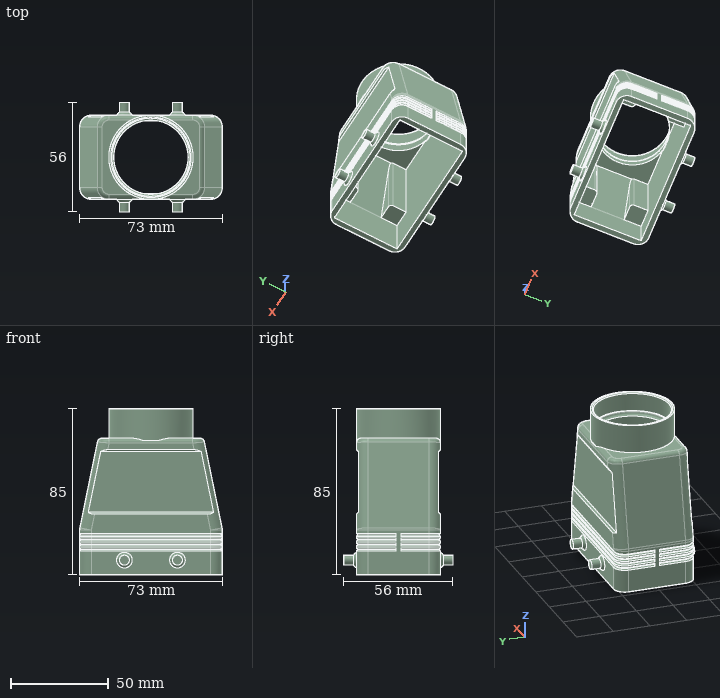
import cadquery as cq
import math

total_height = 85.0
base_length = 73.0
body_width = 43.1
body_height = 69.95
bend_height = 23.5
top_length = 54.0
corner_radius = 6.0
bend_radius = corner_radius
top_edge_radius = 2.55

recess_depth = 1.0
recess_bottom = 31.0
recess_top = 64.0

groove_count = 4
groove_depth = 0.8
lowest_groove_height = 13.0
highest_groove_height = 20.5
groove_pitch = (highest_groove_height - lowest_groove_height) / (groove_count - 1)
groove_gap = 2.6

collar_radius = body_width / 2
collar_embed = 1.3
collar_bore_radius = 20.0
relief_radius = 20.6
relief_top = 74.7
entry_top = 72.25
entry_radius = 18.95
entry_bottom = 64.9
mouth_chamfer = relief_radius - collar_bore_radius
relief_fillet = relief_radius - entry_radius

wall = 3.1
cavity_ceiling = 66.1
post_face = 24.2
post_side = 9.1
post_edge_radius = 1.8

pin_span = 56.0
pin_spacing = 27.1
pin_height = 7.6
pin_radius = 2.55
pin_base_radius = 4.0
pin_base_height = 1.5
pin_root_depth = wall / 2

half_length = base_length / 2
half_width = body_width / 2
end_slope = (base_length - top_length) / 2 / (body_height - bend_height)


def hood_block(length, width, top):
    """Block with vertical ends up to the bend and sloping ends up to the top."""
    half_base = length / 2
    half_top = half_base - end_slope * (top - bend_height)
    return (
        cq.Workplane("XZ")
        .polyline([
            (-half_base, 0),
            (half_base, 0),
            (half_base, bend_height),
            (half_top, top),
            (-half_top, top),
            (-half_base, bend_height),
        ])
        .close()
        .extrude(width / 2, both=True)
    )


def make_body():
    body = hood_block(base_length, body_width, body_height)
    bend_zone = cq.selectors.BoxSelector(
        (-base_length, -half_width / 2, bend_height - bend_radius),
        (base_length, half_width / 2, bend_height + bend_radius),
    )
    body = body.edges(bend_zone).fillet(bend_radius)
    body = body.edges("(not |X) and (not |Y)").fillet(corner_radius)
    return body.edges(">Z").fillet(top_edge_radius)


def make_side_recess(side):
    """Bar that removes the recess on one broad side, with 45 degree ends."""
    outer = side * half_width
    floor = side * (half_width - recess_depth)
    return (
        cq.Workplane("YZ")
        .polyline([
            (outer, recess_bottom),
            (floor, recess_bottom + recess_depth),
            (floor, recess_top - recess_depth),
            (outer, recess_top),
        ])
        .close()
        .extrude(half_length, both=True)
    )


def make_groove(height):
    """Ring with a 90 degree V section, split by a gap at each end of the base."""

    def narrowing_block(direction):
        return (
            cq.Workplane("XY")
            .workplane(offset=height - direction * groove_depth)
            .sketch()
            .rect(base_length, body_width)
            .vertices()
            .fillet(corner_radius)
            .finalize()
            .extrude(direction * groove_depth, taper=45)
        )

    slab = cq.Workplane("XY").box(base_length, body_width, 2 * groove_depth)
    gap = cq.Workplane("XY").box(base_length, groove_gap, 2 * groove_depth)
    ring = slab.cut(gap).translate((0, 0, height))
    return ring.cut(narrowing_block(1)).cut(narrowing_block(-1))


def make_collar():
    collar_bottom = body_height - collar_embed
    return (
        cq.Workplane("XY")
        .workplane(offset=collar_bottom)
        .circle(collar_radius)
        .extrude(total_height - collar_bottom)
    )


def make_collar_bore():
    """Revolved bore: chamfered mouth, bore, relief with rounded floor, entry hole."""
    arc_middle = relief_fillet * math.sqrt(0.5)
    arc_center_z = entry_top + relief_fillet
    return (
        cq.Workplane("XZ")
        .moveTo(0, entry_bottom)
        .lineTo(entry_radius, entry_bottom)
        .lineTo(entry_radius, entry_top)
        .threePointArc(
            (entry_radius + arc_middle, arc_center_z - arc_middle),
            (relief_radius, arc_center_z),
        )
        .lineTo(relief_radius, relief_top)
        .lineTo(collar_bore_radius, relief_top)
        .lineTo(collar_bore_radius, total_height - mouth_chamfer)
        .lineTo(relief_radius, total_height)
        .lineTo(0, total_height)
        .close()
        .revolve(360, (0, 0), (0, 1))
    )


def make_cavity():
    cavity_length = base_length - 2 * wall
    cavity_width = body_width - 2 * wall
    cavity = hood_block(cavity_length, cavity_width, cavity_ceiling)
    post_length = half_length - post_face
    post_width = half_width - post_side
    post = (
        cq.Workplane("XY")
        .workplane(offset=bend_height)
        .rect(post_length, post_width)
        .extrude(cavity_ceiling - bend_height)
        .edges("|Z and <X and <Y")
        .fillet(post_edge_radius)
        .translate((post_face + post_length / 2, post_side + post_width / 2, 0))
    )
    end_posts = post.union(post.mirror("XZ"))
    return cavity.cut(end_posts).cut(end_posts.mirror("YZ"))


def make_pin(x, side):
    """Pin on one broad side, rising from a domed base; the axis points outward."""
    pin_length = pin_span / 2 - half_width
    dome_center = (pin_radius**2 + pin_base_height**2 - pin_base_radius**2) / (2 * pin_base_height)
    dome_radius = math.hypot(pin_base_radius, dome_center)
    middle = pin_base_height / 2
    middle_radius = math.sqrt(dome_radius**2 - (middle - dome_center) ** 2)
    pin = (
        cq.Workplane("XZ")
        .moveTo(0, -pin_root_depth)
        .lineTo(pin_base_radius, -pin_root_depth)
        .lineTo(pin_base_radius, 0)
        .threePointArc((middle_radius, middle), (pin_radius, pin_base_height))
        .lineTo(pin_radius, pin_length)
        .lineTo(0, pin_length)
        .close()
        .revolve(360, (0, 0), (0, 1))
    )
    return pin.rotate((0, 0, 0), (1, 0, 0), -90 * side).translate((x, side * half_width, pin_height))


hood = make_body()
for side in (-1, 1):
    hood = hood.cut(make_side_recess(side))
for index in range(groove_count):
    hood = hood.cut(make_groove(lowest_groove_height + index * groove_pitch))
hood = hood.union(make_collar()).cut(make_cavity()).cut(make_collar_bore())
for side in (-1, 1):
    for x in (-pin_spacing / 2, pin_spacing / 2):
        hood = hood.union(make_pin(x, side))

result = hood